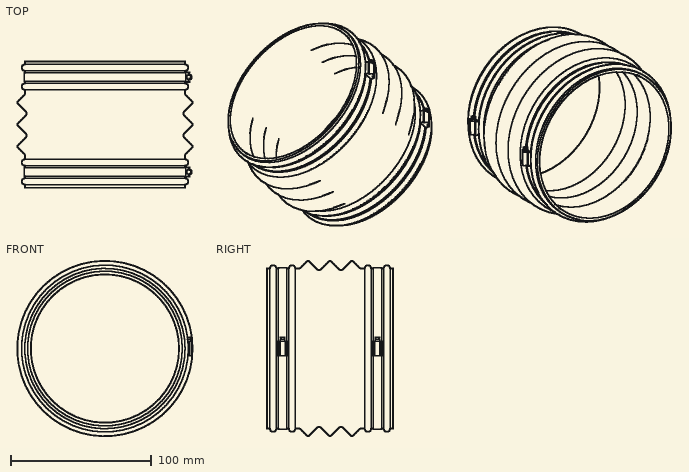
import cadquery as cq
import math

length = 90.0
wall = 2.0
end_radius = 114.0 / 2
bore_radius = 110.0 / 2

crest_radius = 62.5
crest_count = 3
crest_pitch = 15.6
tight_round = 1.0
wide_round = 2.0

bead_radius = 2.31
bead_insets = (4.5, 18.0)

clamp_inset = 11.2
band_width = 6.0
band_radius = 57.6
band_overlap = 0.4

barrel_diameter = 3.7
barrel_height = 10.5
barrel_x = 60.0
saddle_width = 7.0
saddle_outer_x = 59.6
lip_outer_x = 60.3
lip_thickness = 0.4
head_diameter = 3.1
collar_height = 1.2
flare_height = 1.4
head_x = 59.65
neck_diameter = 1.7


def add_rounded_corner(profile, before, corner, after, radius):
    """Draw up to a corner of the outline and around its tangent arc."""
    to_before = (cq.Vector(*before) - cq.Vector(*corner)).normalized()
    to_after = (cq.Vector(*after) - cq.Vector(*corner)).normalized()
    half_angle = to_before.getAngle(to_after) / 2
    setback = radius / math.tan(half_angle)
    bisector = (to_before + to_after).normalized()
    apex_distance = radius / math.sin(half_angle) - radius
    vertex = cq.Vector(*corner)
    start = vertex + to_before * setback
    middle = vertex + bisector * apex_distance
    end = vertex + to_after * setback
    return profile.lineTo(start.x, start.y).threePointArc((middle.x, middle.y), (end.x, end.y))


def bellows_body(plain_radius, crest_tip, crest_round, root_round):
    """Solid of revolution with rounded zigzag crests between two plain ends."""
    root_tip = crest_tip - crest_pitch / 2
    first_crest = -(crest_count - 1) * crest_pitch / 2
    flank_start = first_crest - (crest_tip - plain_radius)

    corners = [(plain_radius, flank_start, root_round)]
    for i in range(crest_count):
        crest_y = first_crest + i * crest_pitch
        corners.append((crest_tip, crest_y, crest_round))
        if i < crest_count - 1:
            corners.append((root_tip, crest_y + crest_pitch / 2, root_round))
    corners.append((plain_radius, -flank_start, root_round))

    first = (plain_radius, -length / 2)
    last = (plain_radius, length / 2)
    points = [first] + [corner[:2] for corner in corners] + [last]
    profile = cq.Workplane("XY").moveTo(0, -length / 2).lineTo(*first)
    for i, corner in enumerate(corners):
        profile = add_rounded_corner(profile, points[i], points[i + 1], points[i + 2], corner[2])
    profile = profile.lineTo(*last).lineTo(0, length / 2).close()
    return profile.revolve(360, (0, 0), (0, 1))


def sleeve():
    tip_cut = tight_round * (math.sqrt(2) - 1)
    outer_tip = crest_radius + tip_cut
    inner_tip = outer_tip - wall * math.sqrt(2)
    outside = bellows_body(end_radius, outer_tip, tight_round, wide_round)
    inside = bellows_body(bore_radius, inner_tip, wide_round, tight_round)
    return outside.cut(inside)


def bead(y):
    section = (
        cq.Workplane("XY")
        .moveTo(end_radius, y - bead_radius)
        .threePointArc((end_radius + bead_radius, y), (end_radius, y + bead_radius))
        .lineTo(end_radius - wall / 2, y + bead_radius)
        .lineTo(end_radius - wall / 2, y - bead_radius)
        .close()
    )
    return section.revolve(360, (0, 0), (0, 1))


def block(x_min, x_max, width, height, y):
    return cq.Workplane("XY").box(x_max - x_min, width, height).translate(((x_min + x_max) / 2, y, 0))


def clamp(y):
    band_inner = end_radius - band_overlap
    band = (
        cq.Workplane("XZ", origin=(0, y + band_width / 2, 0))
        .circle(band_radius)
        .circle(band_inner)
        .extrude(band_width)
    )
    saddle = block(band_inner, saddle_outer_x, saddle_width, barrel_height, y)
    for side in (-1, 1):
        lip_y = y + side * (saddle_width - lip_thickness) / 2
        saddle = saddle.union(block(band_inner, lip_outer_x, lip_thickness, barrel_height, lip_y))

    barrel = (
        cq.Workplane("XY", origin=(barrel_x, y, -barrel_height / 2))
        .circle(barrel_diameter / 2)
        .extrude(barrel_height)
    )
    collar_top = barrel_height / 2 + collar_height
    collar = (
        cq.Workplane("XY", origin=(head_x, y, barrel_height / 2))
        .circle(head_diameter / 2)
        .extrude(collar_height)
    )
    flare = (
        cq.Workplane("XY", origin=(head_x, y, collar_top))
        .circle(neck_diameter / 2)
        .workplane(offset=flare_height)
        .circle(head_diameter / 2)
        .loft()
    )
    head = collar.union(flare)
    bore = cq.Workplane("XZ").circle(band_inner).extrude(length, both=True)
    return band.union(saddle).union(barrel).union(head).cut(bore)


result = sleeve()
for end in (-1, 1):
    for inset in bead_insets:
        result = result.union(bead(end * (length / 2 - inset)))
    result = result.union(clamp(end * (length / 2 - clamp_inset)))